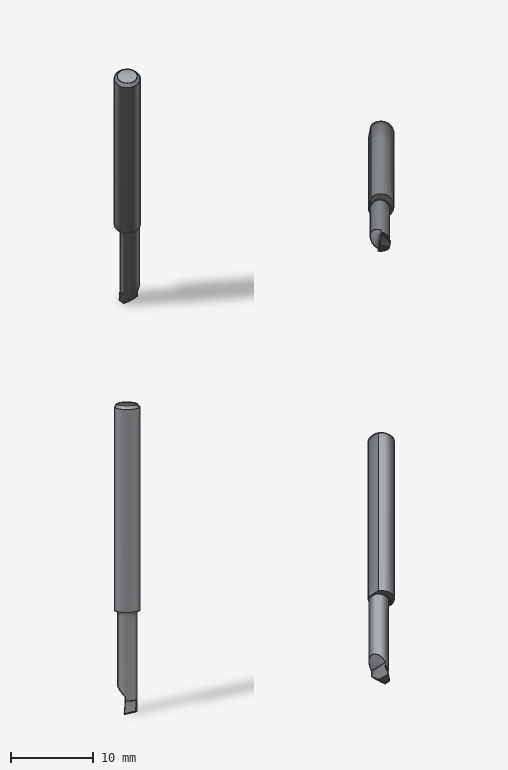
import cadquery as cq

total_length = 38.1
shank_diameter = 3.15
depth_across_flat = 2.95
shank_bottom = 12.7
end_chamfer = 0.38
neck_diameter = 2.35
neck_y = 0.05

tip_top = 1.6
tip_top_x = -0.7
runout_bottom = 2.15
nose_x = -1.1
tip_left_x = -1.2
tip_left_z = 0.135
tip_right_z = 0.135
relief_bottom_x = -0.3
relief_bottom_z = 0.2
relief_top_x = 0.1
nose_clearance = 1.15

shank_radius = shank_diameter / 2
neck_radius = neck_diameter / 2
neck_x = shank_radius - neck_radius
flat_y = depth_across_flat - shank_radius


def make_shank():
    """Round shank with a chamfered top end and a flat along its +Y side."""
    shank = (
        cq.Workplane("XY", origin=(0, 0, shank_bottom))
        .circle(shank_radius)
        .extrude(total_length - shank_bottom)
        .faces(">Z")
        .chamfer(end_chamfer)
    )
    beyond_flat = cq.Workplane("XY", origin=(0, flat_y, 0)).box(
        shank_diameter, shank_diameter, total_length, centered=(True, False, False)
    )
    return shank.cut(beyond_flat)


def make_neck():
    """Offset neck, halved at its lower end and cleared behind the cutting tip."""
    neck = (
        cq.Workplane("XY", origin=(neck_x, neck_y, tip_right_z))
        .circle(neck_radius)
        .extrude(shank_bottom - tip_right_z)
    )
    chip_space = (
        cq.Workplane("YZ")
        .polyline([
            (neck_y, 0),
            (neck_y, runout_bottom),
            (neck_y + shank_diameter, runout_bottom + shank_diameter),
            (neck_y + shank_diameter, 0),
        ])
        .close()
        .extrude(shank_diameter, both=True)
    )
    back_clearance = (
        cq.Workplane("XZ")
        .polyline([
            (neck_x, tip_right_z),
            (shank_radius, nose_clearance + tip_right_z),
            (shank_diameter, nose_clearance + tip_right_z),
            (shank_diameter, 0),
            (neck_x, 0),
        ])
        .close()
        .extrude(shank_diameter, both=True)
    )
    tip_space = cq.Workplane("XY", origin=(neck_x, 0, 0)).box(
        shank_diameter, shank_diameter, tip_top, centered=(False, True, False)
    ).translate((-shank_diameter, 0, 0))
    return neck.cut(chip_space).cut(back_clearance).cut(tip_space)


def make_tip():
    """Cutting tip, narrowing from the rake face to the -Y side of the neck."""
    rake_face = [
        (neck_x, tip_top),
        (tip_top_x, tip_top),
        (tip_left_x, tip_left_z),
        (nose_x, 0),
        (neck_x, tip_right_z),
    ]
    back_face = [
        (neck_x, tip_top),
        (relief_top_x, tip_top),
        (relief_bottom_x, relief_bottom_z + tip_left_z),
        (relief_bottom_x + nose_x - tip_left_x, relief_bottom_z),
        (neck_x, relief_bottom_z),
    ]
    return (
        cq.Workplane("XZ", origin=(0, neck_y, 0))
        .polyline(rake_face)
        .close()
        .workplane(offset=neck_radius)
        .polyline(back_face)
        .close()
        .loft(ruled=True)
    )


result = make_shank().union(make_neck()).union(make_tip())